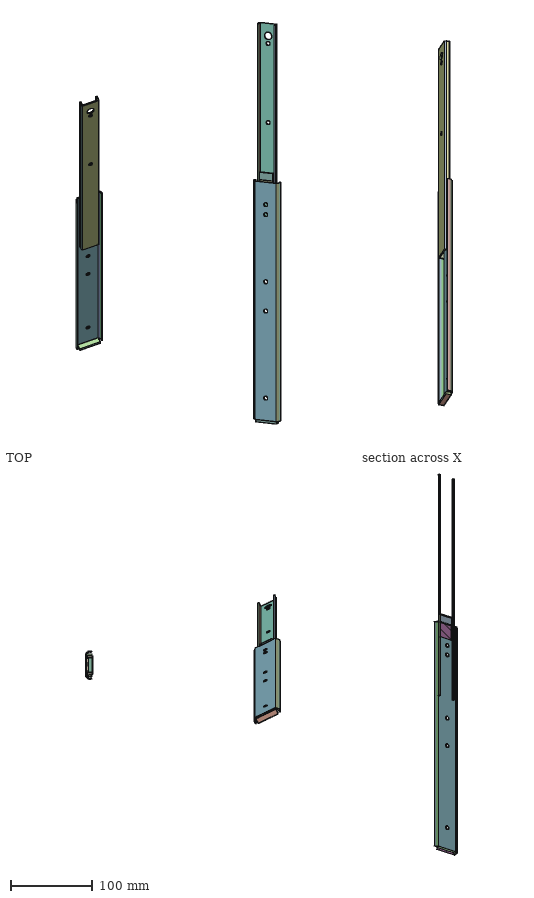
import cadquery as cq
import math


sheet = 1.7
total_height = 509.6
total_depth = 9.6
outer_width = 35.27
inner_rail_length = 300.0
outer_rail_bottom = 3.4
outer_rail_length = 305.0
inner_rail_bottom = total_height - inner_rail_length

race_radius = 4.43
race_half_angle = 33.6
race_x = 5.48
race_y = outer_width / 2 - race_radius

inner_half_width = 12.0
inner_lip_x = 2.4
groove_radius = 3.0
groove_depth = 0.4
slope_drop = 1.0

plug_front_x = 1.4
plug_back_x = 8.2
plug_half_width = 13.8

stop_front_x = 1.4
stop_back_x = 4.0
stop_bottom = 310.4
stop_height = 9.6
stop_half_width = 8.6
neck_front_x = 2.6
neck_height = 20.0

screw_hole_diameter = 5.0
locating_hole_diameter = 9.5
outer_hole_heights = (32.2, 143.6, 181.0, 267.0, 279.8)
inner_hole_heights = (382.7, 483.9)
locating_hole_height = 493.7


def extrude_profile(profile, bottom, length):
    """Close a half profile by mirroring it across the XZ plane and run it up Z."""
    half = profile.close().extrude(length).translate((0, 0, bottom))
    return half.union(half.mirror("XZ")).clean()


def box_between(x_range, half_width, z_range):
    """A block centred on Y = 0."""
    size_x = x_range[1] - x_range[0]
    size_z = z_range[1] - z_range[0]
    block = cq.Workplane("XY").box(size_x, 2 * half_width, size_z, centered=(False, True, False))
    return block.translate((x_range[0], 0, z_range[0]))


def drill(body, heights, diameter):
    """Holes along X on the centreline, right through the body."""
    drills = (
        cq.Workplane("YZ")
        .pushPoints([(0, height) for height in heights])
        .circle(diameter / 2)
        .extrude(total_depth)
    )
    return body.cut(drills)


def race_point(radius, angle):
    """A point of the outer rail's ear; the angle is in degrees from the crown towards +X."""
    turn = math.radians(angle)
    return race_x + radius * math.sin(turn), race_y + radius * math.cos(turn)


def make_outer_rail():
    inside_radius = race_radius - sheet
    outside_slope_end = race_point(race_radius, -race_half_angle)
    inside_slope_end = race_point(inside_radius, -race_half_angle)
    web_half_width = outside_slope_end[1] - outside_slope_end[0]
    inside_half_width = inside_slope_end[1] - (inside_slope_end[0] - sheet)
    profile = (
        cq.Workplane("XY")
        .moveTo(0, 0)
        .lineTo(0, web_half_width)
        .lineTo(*outside_slope_end)
        .threePointArc(race_point(race_radius, 0), race_point(race_radius, race_half_angle))
        .lineTo(*race_point(inside_radius, race_half_angle))
        .threePointArc(race_point(inside_radius, 0), inside_slope_end)
        .lineTo(sheet, inside_half_width)
        .lineTo(sheet, 0)
    )
    rail = extrude_profile(profile, outer_rail_bottom, outer_rail_length)
    rail = drill(rail, outer_hole_heights, screw_hole_diameter)
    plug = box_between((plug_front_x, plug_back_x), plug_half_width, (0, outer_rail_bottom))
    return rail.union(plug)


def make_inner_rail():
    groove_half_chord = math.sqrt(groove_radius**2 - (groove_radius - groove_depth) ** 2)
    groove_start = race_x - groove_half_chord
    groove_end = race_x + groove_half_chord
    inside_half_width = inner_half_width - groove_depth - sheet
    web_inside_x = total_depth - sheet
    profile = (
        cq.Workplane("XY")
        .moveTo(total_depth, 0)
        .lineTo(total_depth, inner_half_width - slope_drop)
        .lineTo(groove_end, inner_half_width)
        .threePointArc((race_x, inner_half_width - groove_depth), (groove_start, inner_half_width))
        .lineTo(inner_lip_x, inner_half_width)
        .lineTo(inner_lip_x, inside_half_width)
        .lineTo(web_inside_x, inside_half_width)
        .lineTo(web_inside_x, 0)
    )
    rail = extrude_profile(profile, inner_rail_bottom, inner_rail_length)
    rail = drill(rail, inner_hole_heights, screw_hole_diameter)
    rail = drill(rail, (locating_hole_height,), locating_hole_diameter)
    stop_top = stop_bottom + stop_height
    neck_bottom = stop_bottom - neck_height
    stop = box_between((stop_front_x, stop_back_x), stop_half_width, (stop_bottom, stop_top))
    neck = box_between((neck_front_x, web_inside_x), stop_half_width, (neck_bottom, stop_bottom))
    return rail.union(stop).union(neck)


outer_rail = make_outer_rail()
inner_rail = make_inner_rail()

result = cq.Compound.makeCompound([outer_rail.val(), inner_rail.val()])